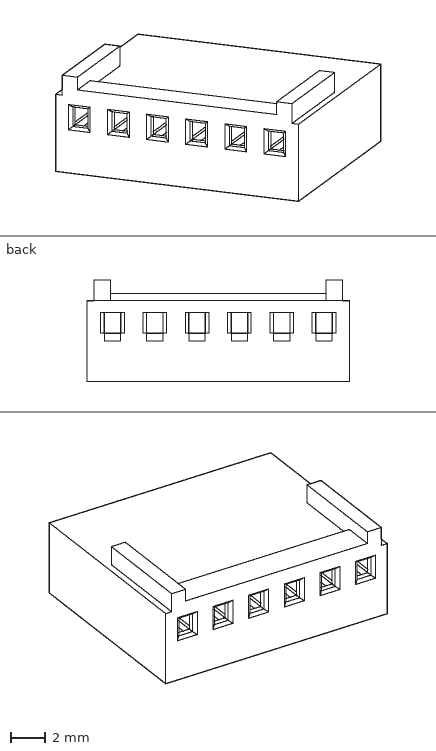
import cadquery as cq

WIDTH = 15.26
DEPTH = 12.6
HEIGHT = 5.9
BODY_HEIGHT = 4.7

RAIL_WIDTH = 0.96
RAIL_LENGTH = 6.53
RAIL_INSET = 0.41

BAR_HEIGHT = 5.13
BAR_DEPTH = 1.95
BAR_SLOPE_RUN = 0.18

CONTACT_COUNT = 6
CONTACT_PITCH = 2.45
CONTACT_CENTER_Z = 3.4
MOUTH_WIDTH = 1.37
MOUTH_HEIGHT = 1.54
THROAT_WIDTH = 0.95
THROAT_HEIGHT = 1.19
LEAD_IN_DEPTH = 0.18
THROAT_END = 0.53
CAVITY_WIDTH = 1.37
SLOT_DEPTH = 0.46


def block(width, depth, height, x_start):
    """Box from the front face backwards, standing on the bottom face."""
    return cq.Workplane("XY").box(width, depth, height, centered=False).translate((x_start, 0, 0))


def housing():
    """Plain body carrying a guide rail near each side."""
    body = block(WIDTH, DEPTH, BODY_HEIGHT, -WIDTH / 2)
    rail_left = -WIDTH / 2 + RAIL_INSET
    for x_start in (rail_left, -rail_left - RAIL_WIDTH):
        body = body.union(block(RAIL_WIDTH, RAIL_LENGTH, HEIGHT, x_start))
    return body


def ramp_bar():
    """Bar between the rails whose rear side slopes down to the body top."""
    half_span = WIDTH / 2 - RAIL_INSET - RAIL_WIDTH
    return (
        cq.Workplane("YZ", origin=(-half_span, 0, 0))
        .moveTo(0, 0)
        .lineTo(0, BAR_HEIGHT)
        .lineTo(BAR_DEPTH, BAR_HEIGHT)
        .lineTo(BAR_DEPTH + BAR_SLOPE_RUN, BODY_HEIGHT)
        .lineTo(BAR_DEPTH + BAR_SLOPE_RUN, 0)
        .close()
        .extrude(2 * half_span)
    )


def contact_opening(x):
    """Cutter for one contact, running from the front face through to the rear face."""
    front = cq.Workplane("XZ", origin=(x, 0, CONTACT_CENTER_Z))
    cavity_length = DEPTH - THROAT_END
    lead_in = (
        front.rect(MOUTH_WIDTH, MOUTH_HEIGHT)
        .workplane(offset=-LEAD_IN_DEPTH)
        .rect(THROAT_WIDTH, THROAT_HEIGHT)
        .loft()
    )
    throat = front.rect(THROAT_WIDTH, THROAT_HEIGHT).extrude(-THROAT_END)
    cavity_start = front.workplane(offset=-THROAT_END)
    cavity = cavity_start.rect(CAVITY_WIDTH, THROAT_HEIGHT).extrude(-cavity_length)
    slot = (
        cavity_start.center(0, -(THROAT_HEIGHT + SLOT_DEPTH) / 2)
        .rect(THROAT_WIDTH, SLOT_DEPTH)
        .extrude(-cavity_length)
    )
    return lead_in.union(throat).union(cavity).union(slot)


result = housing().union(ramp_bar())
first_contact_x = -(CONTACT_COUNT - 1) / 2 * CONTACT_PITCH
for index in range(CONTACT_COUNT):
    result = result.cut(contact_opening(first_contact_x + index * CONTACT_PITCH))